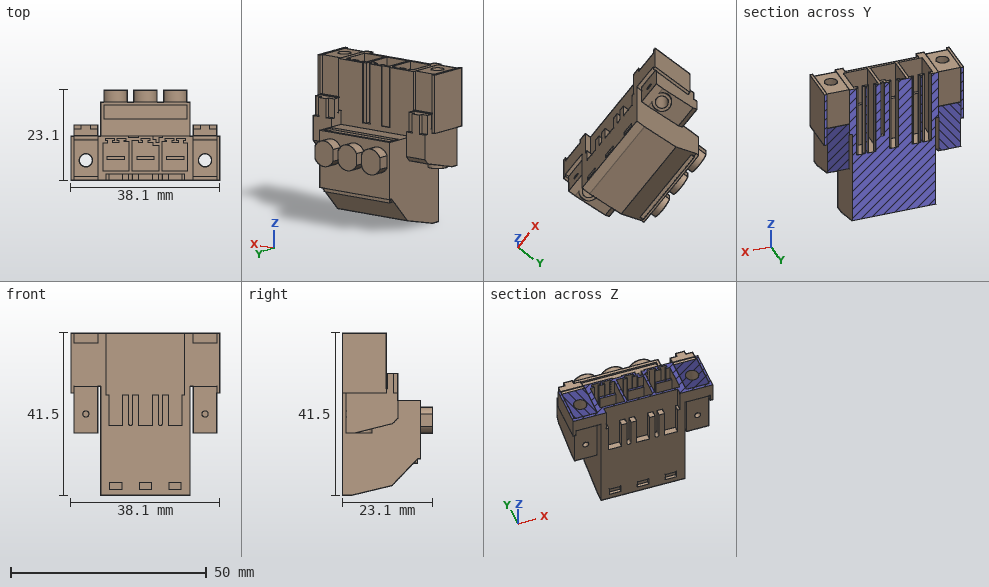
import cadquery as cq


PITCH = 7.62
POLES = [-PITCH, 0.0, PITCH]

BODY_HALF = 1.5 * PITCH
OVERALL_HALF = 19.05
FLANGE_BACK = 11.3
BODY_BACK = 20.05
SHOULDER_Z = -17.15
BACK_BOTTOM_Z = -32.15
BODY_BOTTOM_Z = -41.45
SLOPE_START_Y = 19.25
SLOPE_BEND = (12.7, -39.0)
BOTTOM_BACK_Y = 2.5
FLANGE_BOTTOM_Z = -13.6
PLATE_BOTTOM_Z = -15.3
PLATE_WALL = 0.76

INSERT_WIDTH = 6.1
INSERT_X = 2 * PITCH
INSERT_FRONT = 1.0
FRONT_WINDOW_DEPTH = 2.45

CAVITY_FRONT = 2.4
CAVITY_FLOOR_Z = -20.0
CAVITY_OUTER_X = 10.79
CAVITY_INNER_X = 4.21
MIDDLE_CAVITY_HALF = 3.44
CAVITY_TOP_Y = 10.67
LIP_Y = 10.2
HIGH_SHOULDER_Y = 9.9
MID_SHOULDER_Y = 9.75
LOW_SHOULDER_Y = 9.6
KEY_STEP_X = 1.91
KEY_STEP_Y = 8.98
SLOT_EDGE_X = 1.76

INNER_T = (6.12, 1.38, 2.3)
OUTER_T = (9.1, 1.23, 2.3)
OUTER_T_HEAD_X = 9.03
MIDDLE_T = (0.0, 1.38, 2.3)

NOTCH_OUTER_X = 4.36
NOTCH_Y = 10.99
KEY_NOTCH_Y = 10.51
KEY_NOTCH_X = 2.68
NOTCH_BOTTOM_Z = -15.75

RECESS_HALF = 10.02
RECESS_DEPTH = 1.64
RECESS_BOTTOM_Z = -15.75
FINGER_WIDTH = 3.52
FINGER_BOTTOM_Z = -23.6
SLIT_WIDTH = 1.07

WINDOW_PITCH = 7.58
WINDOW_WIDTH = 3.1
WINDOW_TOP_Z = -38.15
WINDOW_HEIGHT = 1.85
WINDOW_DEPTH = 0.8

LABEL_HALF = 10.65
LABEL_FRONT_Y = 15.75
LABEL_DEPTH = 0.5
LIP_DROP = 1.1

BORE_DIAMETER = 3.3
BORE_Y = 5.15
BOSS_RADIUS = 2.5
INSERT_BOTTOM_Z = -25.55
INSERT_BOTTOM_BACK_Y = 3.1
INSERT_BEND = (12.9, -23.1)
TAB_BACK = 14.2
TAB_TOP_Z = -10.3
TAB_BOTTOM_Z = -21.75
GAP_FRONT = 11.3
GAP_BACK = 11.5
GAP_FLOOR_Z = -14.2
TOP_BACK = 10.36
RIDGE_RISE = 0.12
TAB_NOTCH_WIDTH = 1.85
TAB_NOTCH_DEPTH = 1.07
PIN_HOLE_DIAMETER = 1.6
PIN_HOLE_Z = -20.65
PIN_HOLE_DEPTH = 1.5

BUTTON_DIAMETER = 6.75
BUTTON_WIDTH = 6.0
BUTTON_Z = -22.25
BUTTON_BACK = 23.1

CONTACT_WIDTH = 4.44
CONTACT_THICKNESS = 0.77
CONTACT_Y = 5.7
CONTACT_TOP_Z = -8.0


def block(x, y, z):
    """Box between the two limits given for each axis."""
    size = [limits[1] - limits[0] for limits in (x, y, z)]
    corner = cq.Vector(x[0], y[0], z[0])
    return cq.Workplane(obj=cq.Solid.makeBox(*size, pnt=corner))


def side_profile(points, x):
    """Outline in Y and Z, extruded along X between two limits."""
    return cq.Workplane("YZ", origin=(x[0], 0, 0)).polyline(points).close().extrude(x[1] - x[0])


def plan_cut(points, bottom_z):
    """Outline in X and Y, extruded from bottom_z up to the mating face."""
    return cq.Workplane("XY", origin=(0, 0, bottom_z)).polyline(points).close().extrude(-bottom_z)


def coding_slot(slot, head_x):
    """T-shaped slot along Z, opening into the back of a cavity."""
    neck_x, neck, head = slot
    height = (CAVITY_FLOOR_Z, 0)
    stem = block((neck_x - neck / 2, neck_x + neck / 2), (LOW_SHOULDER_Y, CAVITY_TOP_Y), height)
    cap = block((head_x - head / 2, head_x + head / 2), (LIP_Y, CAVITY_TOP_Y), height)
    return stem.union(cap)


def end_cavity():
    """Cavity of the pole on the +X side."""
    inner_neck_x = INNER_T[0]
    outer_neck_x = OUTER_T[0]
    outline = [
        (CAVITY_INNER_X, CAVITY_FRONT),
        (CAVITY_OUTER_X, CAVITY_FRONT),
        (CAVITY_OUTER_X, LOW_SHOULDER_Y),
        (outer_neck_x, LOW_SHOULDER_Y),
        (outer_neck_x, MID_SHOULDER_Y),
        (inner_neck_x, MID_SHOULDER_Y),
        (inner_neck_x, HIGH_SHOULDER_Y),
        (CAVITY_INNER_X, HIGH_SHOULDER_Y),
    ]
    cavity = plan_cut(outline, CAVITY_FLOOR_Z)
    cavity = cavity.union(coding_slot(INNER_T, INNER_T[0]))
    return cavity.union(coding_slot(OUTER_T, OUTER_T_HEAD_X))


def middle_cavity():
    outline = [
        (-MIDDLE_CAVITY_HALF, CAVITY_FRONT),
        (MIDDLE_CAVITY_HALF, CAVITY_FRONT),
        (MIDDLE_CAVITY_HALF, KEY_STEP_Y),
        (KEY_STEP_X, KEY_STEP_Y),
        (KEY_STEP_X, MID_SHOULDER_Y),
        (-SLOT_EDGE_X, MID_SHOULDER_Y),
        (-SLOT_EDGE_X, LIP_Y),
        (-MIDDLE_CAVITY_HALF, LIP_Y),
    ]
    return plan_cut(outline, CAVITY_FLOOR_Z).union(coding_slot(MIDDLE_T, MIDDLE_T[0]))


def keying_notches():
    plain = block((-NOTCH_OUTER_X, -SLOT_EDGE_X), (NOTCH_Y, FLANGE_BACK), (NOTCH_BOTTOM_Z, 0))
    stepped = [
        (KEY_STEP_X, FLANGE_BACK),
        (KEY_STEP_X, KEY_NOTCH_Y),
        (KEY_NOTCH_X, KEY_NOTCH_Y),
        (KEY_NOTCH_X, MID_SHOULDER_Y),
        (MIDDLE_CAVITY_HALF, MID_SHOULDER_Y),
        (MIDDLE_CAVITY_HALF, NOTCH_Y),
        (NOTCH_OUTER_X, NOTCH_Y),
        (NOTCH_OUTER_X, FLANGE_BACK),
    ]
    return plain.union(plan_cut(stepped, NOTCH_BOTTOM_Z))


def front_recess():
    """Wide recess with three square fingers and two round-ended slits below it."""
    depth = (0, RECESS_DEPTH)
    recess = block((-RECESS_HALF, RECESS_HALF), depth, (RECESS_BOTTOM_Z, 0))
    for x in POLES:
        half = FINGER_WIDTH / 2
        recess = recess.union(block((x - half, x + half), depth, (FINGER_BOTTOM_Z, RECESS_BOTTOM_Z)))
    radius = SLIT_WIDTH / 2
    end_z = FINGER_BOTTOM_Z + radius
    for x in (-PITCH / 2, PITCH / 2):
        recess = recess.union(block((x - radius, x + radius), depth, (end_z, RECESS_BOTTOM_Z)))
        round_end = cq.Solid.makeCylinder(radius, RECESS_DEPTH, cq.Vector(x, 0, end_z), cq.Vector(0, 1, 0))
        recess = recess.union(cq.Workplane(obj=round_end))
    return recess


def insert_blank(left, right):
    """Flange insert before its holes and notches are cut, with a low rounded ridge behind its top block."""
    outline = (
        cq.Workplane("YZ", origin=(left, 0, 0))
        .moveTo(INSERT_FRONT, 0)
        .lineTo(TOP_BACK, 0)
        .lineTo(TOP_BACK, TAB_TOP_Z)
        .threePointArc(((TOP_BACK + GAP_FRONT) / 2, TAB_TOP_Z + RIDGE_RISE), (GAP_FRONT, TAB_TOP_Z))
        .lineTo(GAP_FRONT, GAP_FLOOR_Z)
        .lineTo(GAP_BACK, GAP_FLOOR_Z)
        .lineTo(GAP_BACK, TAB_TOP_Z)
        .lineTo(TAB_BACK, TAB_TOP_Z)
        .lineTo(TAB_BACK, TAB_BOTTOM_Z)
        .lineTo(*INSERT_BEND)
        .lineTo(INSERT_BOTTOM_BACK_Y, INSERT_BOTTOM_Z)
        .lineTo(INSERT_FRONT, INSERT_BOTTOM_Z)
        .close()
    )
    return outline.extrude(right - left)


def flange_insert(x):
    left = x - INSERT_WIDTH / 2
    right = x + INSERT_WIDTH / 2
    insert = insert_blank(left, right)
    for edges in ((left, left + TAB_NOTCH_WIDTH), (right - TAB_NOTCH_WIDTH, right)):
        notch = block(edges, (TAB_BACK - TAB_NOTCH_DEPTH, TAB_BACK), (PLATE_BOTTOM_Z, TAB_TOP_Z))
        insert = insert.cut(notch)
    base = cq.Workplane("XY", origin=(x, BORE_Y, INSERT_BOTTOM_Z))
    boss_height = TAB_BOTTOM_Z - INSERT_BOTTOM_Z
    insert = insert.union(base.circle(BOSS_RADIUS).extrude(boss_height))
    insert = insert.cut(base.circle(BORE_DIAMETER / 2).extrude(-INSERT_BOTTOM_Z))
    pin_hole = cq.Workplane("XZ", origin=(x, INSERT_FRONT, PIN_HOLE_Z)).circle(PIN_HOLE_DIAMETER / 2)
    return insert.cut(pin_hole.extrude(-PIN_HOLE_DEPTH))


def flange(side):
    """Flange sleeve beside the body; side is -1 or 1."""
    inner_x = INSERT_X - INSERT_WIDTH / 2
    outer_x = INSERT_X + INSERT_WIDTH / 2
    depth = (0, FLANGE_BACK)
    sleeve = block((BODY_HALF - PLATE_WALL, outer_x), depth, (FLANGE_BOTTOM_Z, 0))
    sleeve = sleeve.cut(block((inner_x, outer_x), (INSERT_FRONT, FLANGE_BACK), (FLANGE_BOTTOM_Z, 0)))
    sleeve = sleeve.cut(block((inner_x, outer_x), (0, INSERT_FRONT), (-FRONT_WINDOW_DEPTH, 0)))
    sleeve = sleeve.union(block((outer_x, OVERALL_HALF), depth, (PLATE_BOTTOM_Z, 0)))
    return sleeve if side > 0 else sleeve.mirror("YZ")


def build_housing():
    outline = [
        (0, 0),
        (FLANGE_BACK, 0),
        (FLANGE_BACK, SHOULDER_Z),
        (BODY_BACK, SHOULDER_Z),
        (BODY_BACK, BACK_BOTTOM_Z),
        (SLOPE_START_Y, BACK_BOTTOM_Z),
        SLOPE_BEND,
        (BOTTOM_BACK_Y, BODY_BOTTOM_Z),
        (0, BODY_BOTTOM_Z),
    ]
    body = side_profile(outline, (-BODY_HALF, BODY_HALF))
    for side in (-1, 1):
        body = body.union(flange(side))

    lip_bottom_z = BACK_BOTTOM_Z - LIP_DROP
    lip = [
        (SLOPE_START_Y, BACK_BOTTOM_Z),
        (SLOPE_START_Y, lip_bottom_z),
        (SLOPE_START_Y - 2 * LIP_DROP, lip_bottom_z),
        (SLOPE_START_Y - 2 * LIP_DROP, BACK_BOTTOM_Z),
    ]
    body = body.union(side_profile(lip, (-LABEL_HALF, LABEL_HALF)))

    body = body.cut(end_cavity()).cut(end_cavity().mirror("YZ")).cut(middle_cavity())
    body = body.cut(keying_notches()).cut(front_recess())

    for column in (-1, 0, 1):
        x = column * WINDOW_PITCH
        window_z = (WINDOW_TOP_Z - WINDOW_HEIGHT, WINDOW_TOP_Z)
        window_x = (x - WINDOW_WIDTH / 2, x + WINDOW_WIDTH / 2)
        body = body.cut(block(window_x, (0, WINDOW_DEPTH), window_z))

    label_z = (SHOULDER_Z - LABEL_DEPTH, SHOULDER_Z)
    return body.cut(block((-LABEL_HALF, LABEL_HALF), (LABEL_FRONT_Y, SLOPE_START_Y), label_z))


def release_button(x):
    """Round button on the back face with flats on its left and right sides."""
    length = BUTTON_BACK - BODY_BACK
    base = cq.Workplane("XZ", origin=(x, BODY_BACK, BUTTON_Z))
    flats = base.rect(BUTTON_WIDTH, BUTTON_DIAMETER).extrude(-length)
    return base.circle(BUTTON_DIAMETER / 2).extrude(-length).intersect(flats)


def blade_contact(x):
    """Flat blade standing on the floor of a cavity."""
    base = cq.Workplane("XY", origin=(x, CONTACT_Y, CAVITY_FLOOR_Z))
    return base.rect(CONTACT_WIDTH, CONTACT_THICKNESS).extrude(CONTACT_TOP_Z - CAVITY_FLOOR_Z)


housing = build_housing()
inserts = [flange_insert(side * INSERT_X) for side in (-1, 1)]
buttons = [release_button(x) for x in POLES]
contacts = [blade_contact(x) for x in POLES]

bodies = [housing, *inserts, *buttons, *contacts]
result = cq.Compound.makeCompound([body.solids().val() for body in bodies])